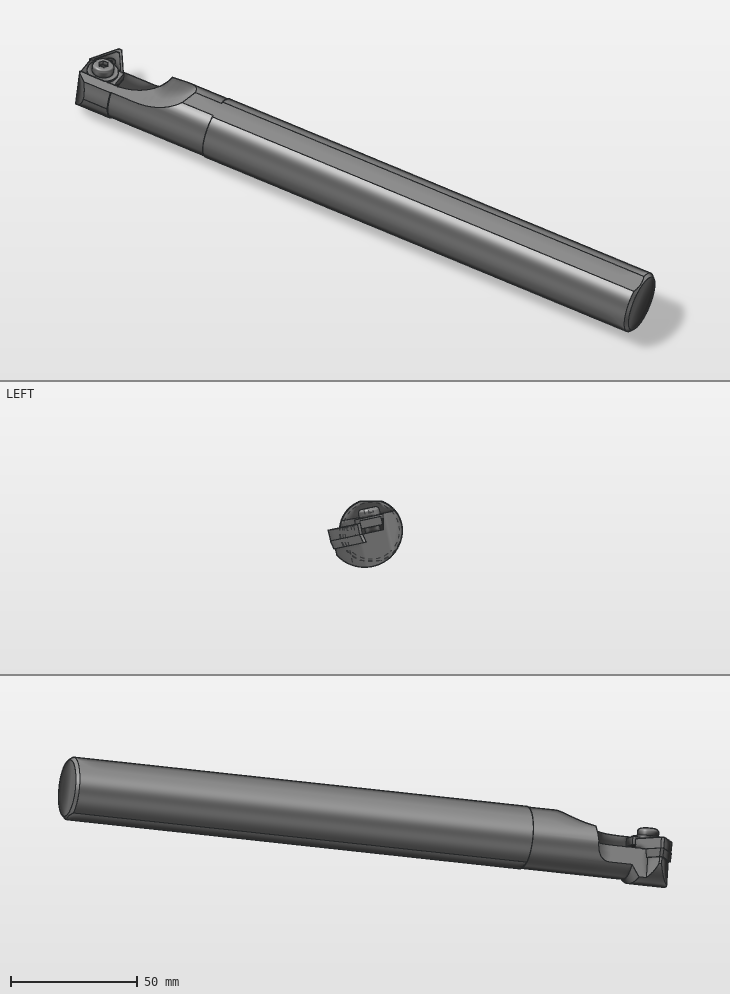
import cadquery as cq
import math

LENGTH = 250.0
SHANK_RADIUS = 12.5
FLAT_HEIGHT = 11.8
SHANK_START = 60.0
NECK_RADIUS = 12.2
TAIL_CHAMFER = 1.2

HEAD_FACE = 1.0
HEAD_END = 17.5
HEAD_RADIUS = 15.0
HEAD_CENTRE_Y = 2.5
HEAD_CENTRE_Z = 0.5
HEAD_SEAM_Z = 0.8
HEAD_REAR_ANGLE = 45.0

TILT = math.radians(12)
W_AXIS = cq.Vector(0, math.sin(TILT), math.cos(TILT))
V_AXIS = cq.Vector(0, math.cos(TILT), -math.sin(TILT))
REACH = 50.0
MID_ARC = math.sin(math.radians(45))

INSERT_SIDE = 16.5
CORNER_WIDTH = 1.38
INSERT_TOP = 3.8
POCKET_FLOOR = -0.62
INSERT_BASE_V = 3.5
INSERT_TAPER = 2.0
BREAKER_LAND = 1.0
BREAKER_DEPTH = 0.2
PIN_RADIUS = 2.0
PIN_RECESS = 0.5
PIN_SOCKET_RADIUS = 0.88
PIN_SOCKET_DEPTH = 1.2
INSERT_CENTRE_X = (INSERT_SIDE - CORNER_WIDTH) / 2
INSERT_CENTRE_V = INSERT_BASE_V + INSERT_SIDE / (2 * math.sqrt(3))

SEAT_BOTTOM = -4.0
SEAT_SHIFT = 0.8

FLANK_ANGLE = math.radians(30)
NOSE_V = 15.2
FLANK_V = 4.8
BEVEL_V = -6.8
FACE_EDGE_RADIUS = 2.2
SIDE_V = 9.8
SIDE_END = 26.8
RUNOUT_RADIUS = 8.2

POCKET_WALL_V = -5.0
POCKET_ARC_START = 17.0
POCKET_ARC_RADIUS = 15.5
POCKET_LEAN = 10.0
DECK_HEIGHT = 5.8
DECK_END = 28.0
GULLET_RADIUS = 35.0

CLAMP_X = 8.5
CLAMP_V = -0.8
CLAMP_LENGTH = 15.0
CLAMP_BOTTOM = 1.5
CLAMP_PLATE_TOP = 4.8
CLAMP_DISC_RADIUS = 6.2
CLAMP_DISC_TOP = 5.5
SCREW_RADIUS = 4.2
SCREW_TOP = 9.0
SCREW_ROUNDING = 1.5
SOCKET_RADIUS = 2.0
SOCKET_DEPTH = 2.0
CLAMP_POST_RADIUS = 3.0


def tilted(height):
    """Workplane in x and v, lying at the given w."""
    return cq.Workplane(cq.Plane((0, 0, 0), (1, 0, 0), W_AXIS)).workplane(offset=height)


def across(x):
    """Workplane in Y and Z, facing +X, at the given X."""
    return cq.Workplane("YZ", origin=(x, 0, 0))


def blunt_triangle(plane, inset=0.0):
    """Draw the insert outline, tip towards +v, on a tilted plane."""
    side = INSERT_SIDE - 2 * math.sqrt(3) * inset
    inradius = side / (2 * math.sqrt(3))
    tip = 2 * inradius - CORNER_WIDTH * math.sqrt(3) / 2
    points = []
    for turn in (0, 120, 240):
        angle = math.radians(turn)
        for across_tip in (CORNER_WIDTH / 2, -CORNER_WIDTH / 2):
            x = across_tip * math.cos(angle) - tip * math.sin(angle)
            v = across_tip * math.sin(angle) + tip * math.cos(angle)
            points.append((INSERT_CENTRE_X + x, INSERT_CENTRE_V + v))
    return plane.polyline(points).close()


def make_shank():
    """Clamped length of the bar, with a flat along its underside."""
    length = LENGTH - SHANK_START
    shank = across(SHANK_START).circle(SHANK_RADIUS).extrude(length)
    shank = shank.faces(">X").chamfer(TAIL_CHAMFER)
    below_flat = cq.Workplane("XY").box(length, REACH, REACH, centered=(False, True, False))
    return shank.cut(below_flat.translate((SHANK_START, 0, -FLAT_HEIGHT - REACH)))


def make_head_swelling():
    """Eccentric head, chamfered at its rear by a cone about the bar's axis."""
    length = HEAD_END - HEAD_FACE
    swelling = across(HEAD_FACE).center(HEAD_CENTRE_Y, HEAD_CENTRE_Z).circle(HEAD_RADIUS).extrude(length)
    collar = across(HEAD_FACE).circle(SHANK_RADIUS).extrude(length)
    above_seam = cq.Workplane("XY").box(length, REACH, REACH, centered=(False, True, False))
    above_seam = above_seam.translate((HEAD_FACE, 0, HEAD_SEAM_Z))
    swelling = swelling.cut(above_seam)
    collar = collar.intersect(above_seam)
    rear_cone = across(HEAD_END).circle(NECK_RADIUS).extrude(-length, taper=-HEAD_REAR_ANGLE)
    return swelling.union(collar).intersect(rear_cone)


def make_bar():
    """Shank, round neck and swollen head, with one flat along the top."""
    neck = across(HEAD_FACE).circle(NECK_RADIUS).extrude(SHANK_START - HEAD_FACE)
    above_flat = cq.Workplane("XY").box(LENGTH, REACH, REACH, centered=(False, True, False))
    bar = make_shank().union(neck).union(make_head_swelling())
    return bar.cut(above_flat.translate((0, 0, FLAT_HEIGHT)))


def make_head_envelope():
    """Prism that bounds the head in plan: bevel, end face, pointed nose and relieved side."""
    flank_slope = math.tan(FLANK_ANGLE)
    nose_left = HEAD_FACE + (NOSE_V - FLANK_V) * flank_slope
    nose_right = 2 * INSERT_CENTRE_X - nose_left
    side_start = nose_right + (NOSE_V - SIDE_V) * flank_slope
    bevel_drop = REACH / 2
    mid = RUNOUT_RADIUS * MID_ARC
    prism = (
        tilted(-REACH)
        .moveTo(HEAD_FACE, BEVEL_V)
        .lineTo(HEAD_FACE, FLANK_V)
        .lineTo(nose_left, NOSE_V)
        .lineTo(nose_right, NOSE_V)
        .lineTo(side_start, SIDE_V)
        .lineTo(SIDE_END, SIDE_V)
        .threePointArc(
            (SIDE_END + mid, SIDE_V + RUNOUT_RADIUS - mid),
            (SIDE_END + RUNOUT_RADIUS, SIDE_V + RUNOUT_RADIUS),
        )
        .lineTo(LENGTH + REACH, SIDE_V + RUNOUT_RADIUS)
        .lineTo(LENGTH + REACH, BEVEL_V - bevel_drop)
        .lineTo(HEAD_FACE + bevel_drop, BEVEL_V - bevel_drop)
        .close()
        .extrude(2 * REACH)
    )
    face_edges = prism.faces("<X").edges(cq.selectors.ParallelDirSelector(W_AXIS))
    return face_edges.fillet(FACE_EDGE_RADIUS)


def make_pocket():
    """Insert and clamp pocket, swept out towards the cutting side by a round cutter."""
    mid = POCKET_ARC_RADIUS * MID_ARC
    arc_end = POCKET_ARC_START + POCKET_ARC_RADIUS
    return (
        tilted(POCKET_FLOOR)
        .moveTo(-REACH, POCKET_WALL_V)
        .lineTo(POCKET_ARC_START, POCKET_WALL_V)
        .threePointArc(
            (POCKET_ARC_START + mid, POCKET_WALL_V + POCKET_ARC_RADIUS - mid),
            (arc_end, POCKET_WALL_V + POCKET_ARC_RADIUS),
        )
        .lineTo(arc_end, REACH)
        .lineTo(-REACH, REACH)
        .close()
        .extrude(2 * SHANK_RADIUS, taper=-POCKET_LEAN)
    )


def make_gullet():
    """Flat deck beside the pocket that sweeps up along an arc to the top of the bar."""
    mid = GULLET_RADIUS * MID_ARC
    return (
        cq.Workplane(cq.Plane((0, 0, 0), (1, 0, 0), -V_AXIS))
        .moveTo(-REACH, DECK_HEIGHT)
        .lineTo(DECK_END, DECK_HEIGHT)
        .threePointArc(
            (DECK_END + mid, DECK_HEIGHT + GULLET_RADIUS - mid),
            (DECK_END + GULLET_RADIUS, DECK_HEIGHT + GULLET_RADIUS),
        )
        .lineTo(-REACH, DECK_HEIGHT + GULLET_RADIUS)
        .close()
        .extrude(REACH, both=True)
    )


def make_seat():
    """Leaning seat under the insert with the pin that locates it."""
    top = blunt_triangle(tilted(POCKET_FLOOR))
    bottom = blunt_triangle(tilted(SEAT_BOTTOM).center(0, -SEAT_SHIFT))
    seat = cq.Workplane(cq.Solid.makeLoft([top.wires().val(), bottom.wires().val()], True))
    centre = (INSERT_CENTRE_X, INSERT_CENTRE_V)
    pin_top = INSERT_TOP - PIN_RECESS
    pin = tilted(SEAT_BOTTOM).center(*centre).circle(PIN_RADIUS).extrude(pin_top - SEAT_BOTTOM)
    socket = tilted(pin_top).center(*centre).circle(PIN_SOCKET_RADIUS).extrude(-PIN_SOCKET_DEPTH)
    return seat.union(pin).cut(socket)


def make_clamp():
    """Clamp plate, round claw over the insert's rear edge, and socket screw."""
    depth = INSERT_BASE_V - POCKET_WALL_V
    plate = (
        tilted(CLAMP_BOTTOM)
        .center(CLAMP_X, POCKET_WALL_V + depth / 2)
        .rect(CLAMP_LENGTH, depth)
        .extrude(CLAMP_PLATE_TOP - CLAMP_BOTTOM)
    )
    centre = (CLAMP_X, CLAMP_V)
    post = tilted(POCKET_FLOOR).center(*centre).circle(CLAMP_POST_RADIUS).extrude(CLAMP_BOTTOM - POCKET_FLOOR)
    disc = tilted(INSERT_TOP).center(*centre).circle(CLAMP_DISC_RADIUS).extrude(CLAMP_DISC_TOP - INSERT_TOP)
    screw = tilted(CLAMP_DISC_TOP).center(*centre).circle(SCREW_RADIUS).extrude(SCREW_TOP - CLAMP_DISC_TOP)
    screw = screw.faces(">Z").edges().fillet(SCREW_ROUNDING)
    socket = tilted(SCREW_TOP).center(*centre).polygon(6, 2 * SOCKET_RADIUS).extrude(-SOCKET_DEPTH)
    return plate.union(post).union(disc).union(screw).cut(socket)


def make_insert():
    """Triangular insert with relieved flanks, a recessed chip breaker and a pin hole."""
    insert = blunt_triangle(tilted(INSERT_TOP)).extrude(POCKET_FLOOR - INSERT_TOP, taper=INSERT_TAPER)
    breaker = blunt_triangle(tilted(INSERT_TOP), BREAKER_LAND).extrude(-BREAKER_DEPTH)
    hole = tilted(POCKET_FLOOR).center(INSERT_CENTRE_X, INSERT_CENTRE_V).circle(PIN_RADIUS).extrude(REACH)
    return insert.cut(breaker).cut(hole)


holder = make_bar().intersect(make_head_envelope()).cut(make_gullet()).cut(make_pocket())
holder = holder.union(make_seat()).union(make_clamp())
insert = make_insert()

result = cq.Compound.makeCompound([holder.solids().val(), insert.solids().val()])